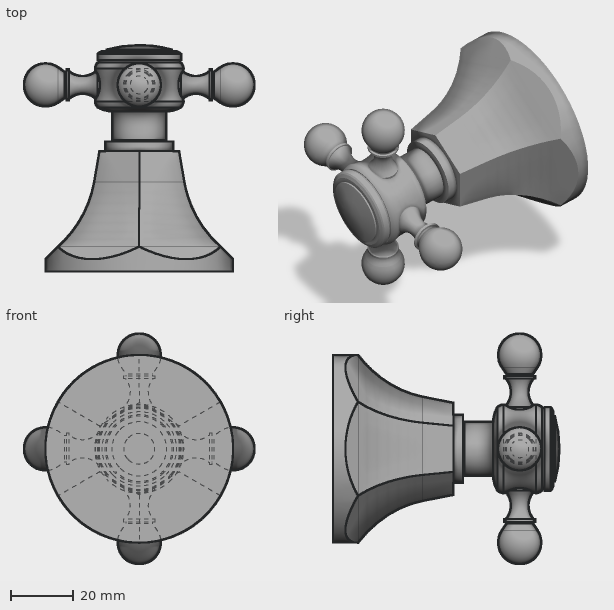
import cadquery as cq
import math


flange_radius = 30.1
chamfer_end = 8.15
chamfer_half_width = 26.0
flare_end = 28.7
flare_half_width = 14.5
base_top = 38.65
base_top_half_width = 12.8
flare_sagitta = 2.0
facet_length = 88.85
facet_pairs = 3

washer_radius = 10.95
washer_top = 41.75
neck_radius = 4.95
stem_bottom = 42.2
stem_radius = 8.7

arm_plane = 59.9
rim_radius = 14.3
rim_offset = 5.25
waist_radius = 13.5
shoulder_radius = 13.4
shoulder_offset = 7.2
shoulder_bulge = 0.15
hub_bottom = 51.4
hub_bottom_radius = 9.5
underside_bulge = 0.2

groove_radius = 13.1
cap_bottom = 67.8
cap_radius = 13.5
cap_band_top = 69.75
cap_edge_radius = 13.0
cap_edge = 70.2
cap_ledge_radius = 11.9
cap_ledge = 70.7
dome_edge_radius = 10.5
dome_edge = 71.2
total_depth = 72.7

arm_tip = 37.0
ball_radius = 6.95
ball_blend = 26.1
flare_start = 13.4
arm_root_radius = 4.9
arm_flare_radius = 4.5
arm_waist_radius = 2.9
collar_start = 22.6
collar_end = 23.4
collar_radius = 5.0
ball_neck_end = 24.0
ball_neck_radius = 4.3
arm_count = 4


def bulged_midpoint(start, end, bulge):
    """Point beside the middle of a chord, offset to the left of its direction."""
    run = end[0] - start[0]
    rise = end[1] - start[1]
    chord = math.hypot(run, rise)
    middle_x = (start[0] + end[0]) / 2 - bulge * rise / chord
    middle_y = (start[1] + end[1]) / 2 + bulge * run / chord
    return (middle_x, middle_y)


def make_facet_pair(angle):
    """Long bar whose two flared sides form one opposite pair of hexagon faces."""
    bottom_half_width = chamfer_half_width + chamfer_end
    flare_low = (chamfer_half_width, chamfer_end)
    flare_high = (flare_half_width, flare_end)
    flare_middle = bulged_midpoint(flare_low, flare_high, flare_sagitta)
    bar = (
        cq.Workplane("XY")
        .moveTo(bottom_half_width, 0)
        .lineTo(*flare_low)
        .threePointArc(flare_middle, flare_high)
        .lineTo(base_top_half_width, base_top)
        .lineTo(-base_top_half_width, base_top)
        .lineTo(-flare_half_width, flare_end)
        .threePointArc((-flare_middle[0], flare_middle[1]), (-chamfer_half_width, chamfer_end))
        .lineTo(-bottom_half_width, 0)
        .close()
        .extrude(facet_length / 2, both=True)
    )
    return bar.rotate((0, 0, 0), (0, 1, 0), angle)


def make_base():
    """Round flange intersected with three facet pairs, corners pointing along Z."""
    base = cq.Workplane("XZ").circle(flange_radius).extrude(-base_top)
    for pair in range(facet_pairs):
        base = base.intersect(make_facet_pair(pair * 180 / facet_pairs))
    return base


def make_spindle_and_hub():
    """Turned washer, stem, waisted hub and stepped dome cap in one revolved profile."""
    lower_shoulder = (shoulder_radius, arm_plane - shoulder_offset)
    lower_rim = (rim_radius, arm_plane - rim_offset)
    upper_rim = (rim_radius, arm_plane + rim_offset)
    upper_shoulder = (shoulder_radius, arm_plane + shoulder_offset)
    underside = (hub_bottom_radius, hub_bottom)
    dome_sagitta = total_depth - dome_edge
    dome_radius = (dome_edge_radius**2 + dome_sagitta**2) / (2 * dome_sagitta)
    dome_middle_radius = dome_edge_radius / 2
    dome_middle = total_depth - dome_radius + math.sqrt(dome_radius**2 - dome_middle_radius**2)
    profile = (
        cq.Workplane("XY")
        .moveTo(0, base_top)
        .lineTo(washer_radius, base_top)
        .lineTo(washer_radius, washer_top)
        .lineTo(neck_radius, washer_top)
        .lineTo(neck_radius, stem_bottom)
        .lineTo(stem_radius, stem_bottom)
        .lineTo(stem_radius, hub_bottom)
        .lineTo(*underside)
        .threePointArc(bulged_midpoint(underside, lower_shoulder, -underside_bulge), lower_shoulder)
        .threePointArc(bulged_midpoint(lower_shoulder, lower_rim, -shoulder_bulge), lower_rim)
        .threePointArc((waist_radius, arm_plane), upper_rim)
        .threePointArc(bulged_midpoint(upper_rim, upper_shoulder, -shoulder_bulge), upper_shoulder)
        .lineTo(groove_radius, upper_shoulder[1])
        .lineTo(groove_radius, cap_bottom)
        .lineTo(cap_radius, cap_bottom)
        .lineTo(cap_radius, cap_band_top)
        .lineTo(cap_edge_radius, cap_edge)
        .lineTo(cap_ledge_radius, cap_ledge)
        .lineTo(dome_edge_radius, cap_ledge)
        .lineTo(dome_edge_radius, dome_edge)
        .threePointArc((dome_middle_radius, dome_middle), (0, total_depth))
        .close()
    )
    return profile.revolve(360, (0, 0, 0), (0, 1, 0))


def make_arm(angle):
    """Turned arm from inside the hub to its ball, swung about Y by the angle."""
    ball_centre = arm_tip - ball_radius
    blend_radius = math.sqrt(ball_radius**2 - (ball_centre - ball_blend) ** 2)
    arm_waist = (flare_start + collar_start) / 2
    ball_top = (ball_centre, ball_radius)
    arm = (
        cq.Workplane("XY")
        .lineTo(0, arm_root_radius)
        .lineTo(flare_start, arm_root_radius)
        .threePointArc(
            (arm_waist, arm_waist_radius),
            (collar_start, arm_flare_radius),
        )
        .lineTo(collar_start, collar_radius)
        .lineTo(collar_end, collar_radius)
        .lineTo(collar_end, ball_neck_radius)
        .lineTo(ball_neck_end, ball_neck_radius)
        .lineTo(ball_blend, blend_radius)
        .threePointArc(ball_top, (arm_tip, 0))
        .close()
        .revolve(360, (0, 0, 0), (1, 0, 0))
    )
    return arm.translate((0, arm_plane, 0)).rotate((0, 0, 0), (0, 1, 0), angle)


result = make_base().union(make_spindle_and_hub())
for arm_index in range(arm_count):
    result = result.union(make_arm(arm_index * 360 / arm_count))